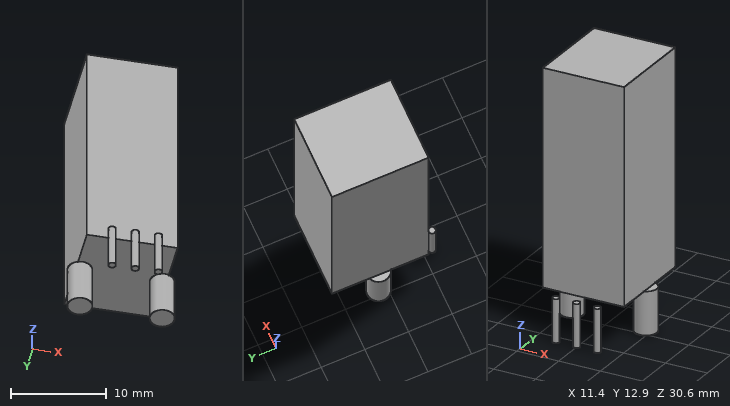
import cadquery as cq

housing_width = 9.73
housing_depth = 11.08
total_height = 30.6
leg_length = 5.1
housing_height = total_height - leg_length

overall_width = 11.45
post_diameter = 2.63
post_offset = (overall_width - post_diameter) / 2

overall_depth = 12.9
pin_diameter = 0.8
pin_pitch = 2.48
pin_count = 3
pin_row_y = housing_depth / 2 - overall_depth + pin_diameter / 2


def make_housing():
    """Plain block resting on top of the posts."""
    block = cq.Workplane("XY").workplane(offset=leg_length)
    return block.rect(housing_width, housing_depth).extrude(housing_height).val()


def make_leg(diameter, x, y):
    """Vertical round leg from the base up to the housing underside level."""
    return cq.Workplane("XY").center(x, y).circle(diameter / 2).extrude(leg_length).val()


def make_post(side):
    """Mounting post on the left (-1) or right (+1) side."""
    return make_leg(post_diameter, side * post_offset, 0)


def make_pin(index):
    """Contact pin, counted from the left end of the row."""
    x = (index - (pin_count - 1) / 2) * pin_pitch
    return make_leg(pin_diameter, x, pin_row_y)


housing = make_housing()
posts = [make_post(side) for side in (-1, 1)]
pins = [make_pin(index) for index in range(pin_count)]

result = cq.Compound.makeCompound([housing, *posts, *pins])